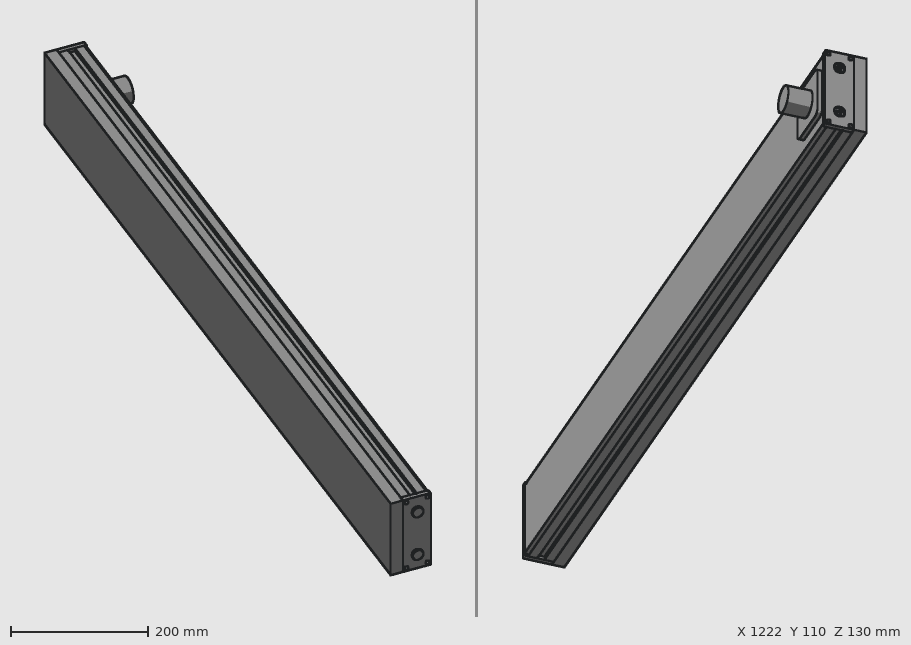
import cadquery as cq

total_length = 1222.0
total_depth = 110.0
height = 130.0

boss_height = 4.0
body_length = total_length - boss_height
plate_thickness = 20.0

body_depth = 65.0
cap_thickness = 8.0
cap_edge_radius = 2.0
screw_hole_diameter = 6.0
screw_hole_inset = 5.5
cap_middle_y = (plate_thickness + body_depth) / 2

rail_length = body_length - 2 * cap_thickness
rail_chamfer = 5.0

groove_front = 34.0
groove_width = 11.0
groove_depth = 5.5

boss_diameter = 17.0
boss_spacing = 77.0
boss_y = cap_middle_y
socket_depth = boss_height
socket_bore_diameter = 9.0

outlet_x = 53.0
flange_side = 81.0
flange_corner_radius = 10.0
flange_thickness = 7.0
outlet_diameter = 42.0


def box_between(x_start, x_end, y_start, y_end):
    """Full-height block centred on Z = 0."""
    return cq.Workplane("XY").box(
        x_end - x_start, y_end - y_start, height, centered=(False, False, True)
    ).translate((x_start, y_start, 0))


def boss_cylinders(x_start, diameter, length):
    """A pair of cylinders along X, one above the other."""
    return (
        cq.Workplane("YZ", origin=(x_start, boss_y, 0))
        .rarray(12, boss_spacing, 1, 2)
        .circle(diameter / 2)
        .extrude(length)
    )


def make_plate():
    return box_between(0, body_length, 0, plate_thickness)


def make_rail():
    rail = box_between(cap_thickness, cap_thickness + rail_length, plate_thickness, body_depth)
    rail = rail.faces(">Y").edges("|X").chamfer(rail_chamfer)
    for side in (-1, 1):
        groove = cq.Workplane("XY").box(
            rail_length, groove_width, 2 * groove_depth, centered=(False, False, True)
        )
        rail = rail.cut(groove.translate((cap_thickness, groove_front, side * height / 2)))
    return rail


def make_cap(x_start):
    """Plain end cap with rounded back edges and a screw hole in each corner."""
    cap = box_between(x_start, x_start + cap_thickness, plate_thickness, body_depth)
    cap = cap.faces(">Y").edges("|X").fillet(cap_edge_radius)
    screw_holes = (
        cq.Workplane("YZ", origin=(x_start, cap_middle_y, 0))
        .rarray(body_depth - plate_thickness - 2 * screw_hole_inset, height - 2 * screw_hole_inset, 2, 2)
        .circle(screw_hole_diameter / 2)
        .extrude(cap_thickness)
    )
    return cap.cut(screw_holes)


def make_left_cap():
    """End cap with two counterbored through holes."""
    cap = make_cap(0)
    cap = cap.cut(boss_cylinders(0, boss_diameter, socket_depth))
    return cap.cut(boss_cylinders(0, socket_bore_diameter, cap_thickness))


def make_right_cap():
    """End cap with two round bosses on its outer face."""
    cap_start = body_length - cap_thickness
    cap = make_cap(cap_start)
    bosses = boss_cylinders(cap_start, boss_diameter, cap_thickness + boss_height)
    return cap.union(bosses)


def make_outlet():
    """Square flange against the rail with a round spigot pointing backwards."""
    back = cq.Workplane("XZ", origin=(outlet_x, body_depth, 0))
    flange = back.rect(flange_side, flange_side).extrude(-flange_thickness)
    flange = flange.edges("|Y").fillet(flange_corner_radius)
    spigot = back.circle(outlet_diameter / 2).extrude(-(total_depth - body_depth))
    return flange.union(spigot)


plate = make_plate()
rail = make_rail()
left_cap = make_left_cap()
right_cap = make_right_cap()
outlet = make_outlet()

result = cq.Compound.makeCompound(
    [plate.val(), rail.val(), left_cap.val(), right_cap.val(), outlet.val()]
)